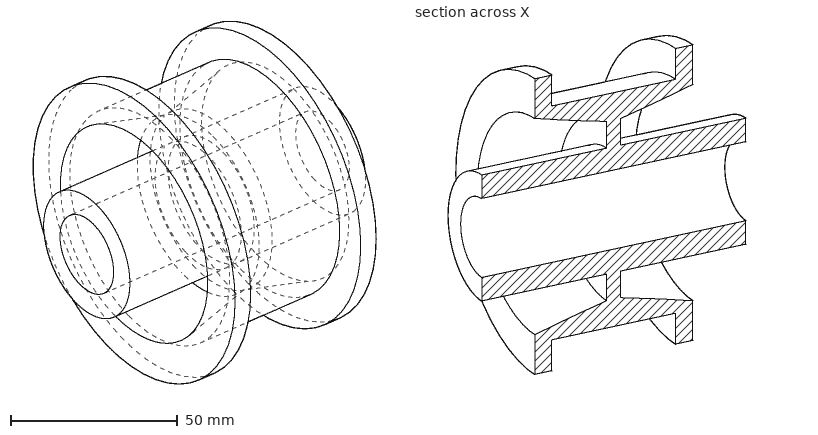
import cadquery as cq

flange_diameter = 96.0
flange_thickness = 6.0
flange_span = 54.5
tread_diameter = 76.0

hub_diameter = 41.0
hub_length = 91.0
bore_diameter = 25.5

recess_mouth_diameter = 70.0
recess_floor_diameter = 58.0
web_thickness = 5.0


def cylinder_along_y(diameter, length):
    """Cylinder on the Y axis, centred on the origin."""
    return cq.Workplane("XZ").circle(diameter / 2).extrude(length / 2, both=True)


def make_rim():
    """Tread with a flange at each end."""
    tread_half_width = flange_span / 2 - flange_thickness
    rim = cylinder_along_y(tread_diameter, flange_span)
    for start in (-flange_span / 2, tread_half_width):
        flange = (
            cq.Workplane("XZ", origin=(0, start, 0))
            .circle(flange_diameter / 2)
            .extrude(-flange_thickness)
        )
        rim = rim.union(flange)
    return rim


def make_recess():
    """Solid cone frustum that hollows the +Y end down to the web."""
    floor = web_thickness / 2
    mouth = flange_span / 2
    return (
        cq.Workplane("XY")
        .moveTo(0, floor)
        .lineTo(recess_floor_diameter / 2, floor)
        .lineTo(recess_mouth_diameter / 2, mouth)
        .lineTo(0, mouth)
        .close()
        .revolve(360, (0, 0, 0), (0, 1, 0))
    )


recess = make_recess()
rim_and_web = make_rim().cut(recess).cut(recess.mirror("XZ"))
hub = cylinder_along_y(hub_diameter, hub_length)
bore = cylinder_along_y(bore_diameter, hub_length)

result = rim_and_web.union(hub).cut(bore)